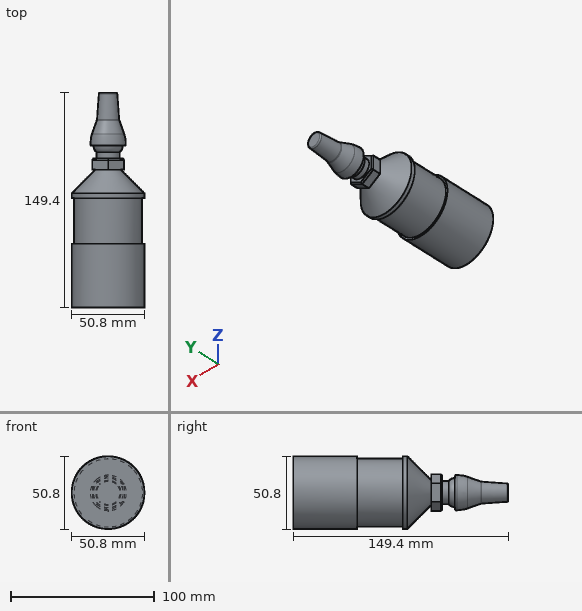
import cadquery as cq
import math

base_dia = 50.8
base_end = 44.45
barrel_dia = 47.5
barrel_end = 76.2
flange_end = 79.4
cone_end = 96.0
cone_end_radius = base_dia / 2 - (cone_end - flange_end)

hex_flats = 22.2
hex_end = 103.8
hex_chamfer_length = 1.3
hex_chamfer_depth = 0.9

neck_dia = 16.26
neck_end = 108.1
seat_dia = 20.6
seat_arc_radius = 6.0

skirt_start = 112.5
skirt_dia = 24.9
skirt_lip_radius = 1.15
flare_start = 121.0
flare_start_dia = 22.4
flare_end = 130.6
flare_end_dia = 15.6
overall_length = 149.45
tip_dia = 12.9
tip_fillet = 1.0
taper_blend_radius = 2.0
edge_margin = 0.1


def turned_body():
    """Base, barrel, flange and conical shoulder revolved about Y."""
    base_radius = base_dia / 2
    barrel_radius = barrel_dia / 2
    profile = (
        cq.Workplane("XY")
        .lineTo(base_radius, 0)
        .lineTo(base_radius, base_end)
        .lineTo(barrel_radius, base_end)
        .lineTo(barrel_radius, barrel_end)
        .lineTo(base_radius, barrel_end)
        .lineTo(base_radius, flange_end)
        .lineTo(cone_end_radius, cone_end)
        .lineTo(0, cone_end)
        .close()
    )
    return profile.revolve(360, (0, 0, 0), (0, 1, 0))


def hex_nut():
    """Hexagon with corners on Z, chamfered around its outer end."""
    corner_dia = hex_flats / math.cos(math.pi / 6)
    nut = (
        cq.Workplane("XZ", origin=(0, cone_end, 0))
        .transformed(rotate=(0, 0, 90))
        .polygon(6, corner_dia)
        .extrude(cone_end - hex_end)
    )
    return nut.faces(">Y").edges().chamfer(hex_chamfer_length, hex_chamfer_depth)


def nozzle():
    """Neck, ball seat, skirt and tapered tip revolved about Y."""
    neck_radius = neck_dia / 2
    seat_radius = seat_dia / 2
    skirt_radius = skirt_dia / 2
    lip_y = skirt_start + skirt_lip_radius
    lip_inner_radius = skirt_radius - skirt_lip_radius
    profile = (
        cq.Workplane("XY")
        .moveTo(0, cone_end)
        .lineTo(neck_radius, cone_end)
        .lineTo(neck_radius, neck_end)
        .radiusArc((seat_radius, skirt_start), -seat_arc_radius)
        .lineTo(lip_inner_radius, skirt_start)
        .radiusArc((skirt_radius, lip_y), -skirt_lip_radius)
        .tangentArcPoint((flare_start_dia / 2, flare_start), relative=False)
        .lineTo(flare_end_dia / 2, flare_end)
        .lineTo(tip_dia / 2, overall_length)
        .lineTo(0, overall_length)
        .close()
    )
    turned = profile.revolve(360, (0, 0, 0), (0, 1, 0))
    flare_end_edge = cq.selectors.BoxSelector(
        (-flare_end_dia, flare_end - edge_margin, -flare_end_dia),
        (flare_end_dia, flare_end + edge_margin, flare_end_dia),
    )
    blended = turned.edges(flare_end_edge).fillet(taper_blend_radius)
    return blended.faces(">Y").edges().fillet(tip_fillet)


result = turned_body().union(hex_nut()).union(nozzle())